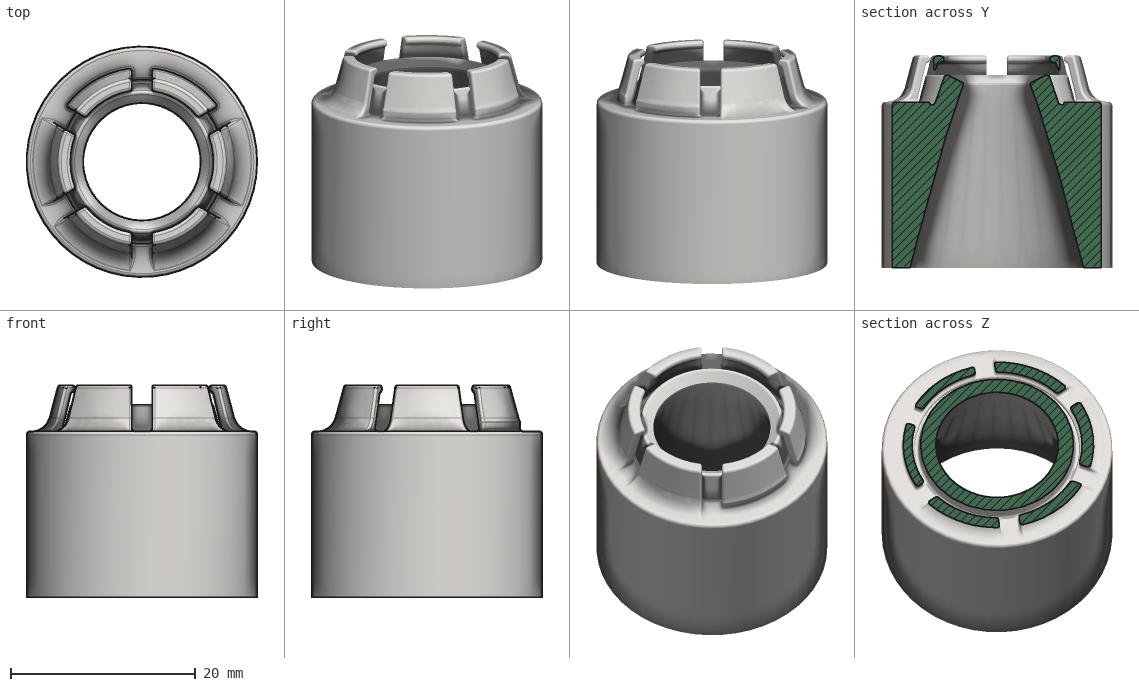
import cadquery as cq
import math

BODY_RADIUS = 12.5
BODY_HEIGHT = 18.0
BODY_EDGE_RADIUS = 0.4

WALL_ANGLE = 15.0

NOZZLE_HEIGHT = 2.9
NOZZLE_TIP_RADIUS = 7.7
NOZZLE_TIP_ROUND = 0.27
MOUTH_ANGLE = 39.0
GROOVE_DEPTH = 0.3
GROOVE_OUTER_RADIUS = 8.9
GROOVE_FLOOR_FILLET = 0.3
GROOVE_RIM_ROUND = 0.25

THROAT_RADIUS = 6.35
THROAT_LAND = 0.25
BORE_HALF_ANGLE = 12.5

FINGER_COUNT = 6
FINGER_HEIGHT = 5.0
FINGER_BASE_RADIUS = 10.4
FINGER_BASE_FILLET = 2.0
FINGER_INNER_BASE_RADIUS = 9.35
LIP_RADIUS = 7.75
LIP_UNDERSIDE = 4.1
LIP_EDGE = 4.4
FINGER_TIP_ROUND = 0.38
FINGER_EDGE_ROUND = 0.25
SLOT_WIDTH = 2.2
SLOT_FLOOR_FILLET = 0.3
ROOT_DEPTH = 1.0
ROOT_MARGIN = 0.1

TRIMMED_FINGERS = (60.0, 120.0)
TRIM_RADIUS = 10.19

FINGER_PITCH = 360.0 / FINGER_COUNT
WALL_SLOPE = math.tan(math.radians(WALL_ANGLE))
TOP = BODY_HEIGHT
FINGER_TOP = TOP + FINGER_HEIGHT
NOZZLE_TOP = TOP + NOZZLE_HEIGHT
FLAT_TOLERANCE = 0.01


def revolve(profile):
    """Close a half section drawn in the XZ plane and turn it about the Z axis."""
    return profile.close().revolve(360, (0, 0, 0), (0, 1, 0))


def circles_at(solid, radius, height):
    """Full circular edges of the given radius lying at the given height."""
    return solid.edges("%CIRCLE").filter(
        lambda edge: abs(edge.radius() - radius) < FLAT_TOLERANCE
        and abs(edge.Center().z - height) < FLAT_TOLERANCE
    )


def make_body():
    """Cylinder with the grooved top face, the tapered nozzle and the flaring bore."""
    groove_floor = TOP - GROOVE_DEPTH
    groove_inner_radius = NOZZLE_TIP_RADIUS + WALL_SLOPE * (NOZZLE_TOP - groove_floor)
    wall = math.radians(WALL_ANGLE)
    mouth = math.radians(MOUTH_ANGLE)
    tip_centre_radius = NOZZLE_TIP_RADIUS - NOZZLE_TIP_ROUND * math.tan((math.pi / 2 - wall) / 2)
    tip_centre = NOZZLE_TOP - NOZZLE_TIP_ROUND
    tip_outer_radius = tip_centre_radius + NOZZLE_TIP_ROUND * math.cos(wall)
    tip_outer = tip_centre + NOZZLE_TIP_ROUND * math.sin(wall)
    mouth_radius = tip_centre_radius - NOZZLE_TIP_ROUND * math.sin(mouth)
    mouth_top = tip_centre + NOZZLE_TIP_ROUND * math.cos(mouth)
    throat_top = mouth_top - (mouth_radius - THROAT_RADIUS) * math.tan(mouth)
    throat_bottom = throat_top - THROAT_LAND
    outlet_radius = THROAT_RADIUS + throat_bottom * math.tan(math.radians(BORE_HALF_ANGLE))
    body = revolve(
        cq.Workplane("XZ")
        .moveTo(outlet_radius, 0)
        .lineTo(BODY_RADIUS, 0)
        .lineTo(BODY_RADIUS, TOP)
        .lineTo(GROOVE_OUTER_RADIUS, TOP)
        .lineTo(GROOVE_OUTER_RADIUS, groove_floor)
        .lineTo(groove_inner_radius, groove_floor)
        .lineTo(tip_outer_radius, tip_outer)
        .threePointArc((tip_centre_radius, NOZZLE_TOP), (mouth_radius, mouth_top))
        .lineTo(THROAT_RADIUS, throat_top)
        .lineTo(THROAT_RADIUS, throat_bottom)
    )
    body = circles_at(body, BODY_RADIUS, TOP).fillet(BODY_EDGE_RADIUS)
    body = circles_at(body, GROOVE_OUTER_RADIUS, TOP).fillet(GROOVE_RIM_ROUND)
    return circles_at(body, groove_inner_radius, groove_floor).fillet(GROOVE_FLOOR_FILLET)


def make_finger_ring():
    """Full ring with the finger section, rooted below the top face of the body."""
    turn = math.radians(90 - WALL_ANGLE)
    tangent = FINGER_BASE_FILLET * math.tan(turn / 2)
    foot_radius = FINGER_BASE_RADIUS + tangent
    fillet_top_radius = FINGER_BASE_RADIUS - tangent * math.cos(turn)
    fillet_top = TOP + tangent * math.sin(turn)
    middle_radius = foot_radius - FINGER_BASE_FILLET * math.sin(turn / 2)
    middle = TOP + FINGER_BASE_FILLET * (1 - math.cos(turn / 2))
    root = TOP - ROOT_DEPTH
    ring = revolve(
        cq.Workplane("XZ")
        .moveTo(FINGER_INNER_BASE_RADIUS, root)
        .lineTo(foot_radius + ROOT_MARGIN, root)
        .lineTo(foot_radius + ROOT_MARGIN, TOP)
        .lineTo(foot_radius, TOP)
        .threePointArc((middle_radius, middle), (fillet_top_radius, fillet_top))
        .lineTo(FINGER_BASE_RADIUS - WALL_SLOPE * FINGER_HEIGHT, FINGER_TOP)
        .lineTo(LIP_RADIUS, FINGER_TOP)
        .lineTo(LIP_RADIUS, TOP + LIP_EDGE)
        .lineTo(FINGER_INNER_BASE_RADIUS - WALL_SLOPE * LIP_UNDERSIDE, TOP + LIP_UNDERSIDE)
        .lineTo(FINGER_INNER_BASE_RADIUS, TOP)
    )
    return ring.faces(">Z").edges().fillet(FINGER_TIP_ROUND)


def make_slot_cutter(angle):
    cutter = cq.Workplane("XY").box(BODY_RADIUS, SLOT_WIDTH, FINGER_TOP, centered=(False, True, False))
    return cutter.rotate((0, 0, 0), (0, 0, 1), angle)


def make_finger(ring, trimmed):
    """One finger pointing along +X, with every edge above its root rounded."""
    reach = 2 * BODY_RADIUS
    half_width = reach * math.tan(math.radians(FINGER_PITCH / 2))
    sector = (
        cq.Workplane("XY")
        .polyline([(0, 0), (reach, -half_width), (reach, half_width)])
        .close()
        .extrude(FINGER_TOP)
    )
    finger = ring.intersect(sector)
    for side in (-1, 1):
        finger = finger.cut(make_slot_cutter(side * FINGER_PITCH / 2))
    if trimmed:
        finger = finger.intersect(cq.Workplane("XY").circle(TRIM_RADIUS).extrude(FINGER_TOP))
    exposed = finger.edges().filter(lambda edge: edge.Center().z > TOP - ROOT_DEPTH / 2 - FLAT_TOLERANCE)
    return exposed.fillet(FINGER_EDGE_ROUND)


def fillet_slot_floors(part):
    """Blend the straight slot walls into the top face; the blend runs on around trimmed feet."""
    floor_lines = part.edges("%LINE").filter(
        lambda edge: abs(edge.Center().z - TOP) < FLAT_TOLERANCE
        and abs(edge.startPoint().z - edge.endPoint().z) < FLAT_TOLERANCE
    )
    return floor_lines.fillet(SLOT_FLOOR_FILLET)


def make_part():
    part = make_body()
    ring = make_finger_ring()
    for index in range(FINGER_COUNT):
        angle = index * FINGER_PITCH
        finger = make_finger(ring, angle in TRIMMED_FINGERS)
        part = part.union(finger.rotate((0, 0, 0), (0, 0, 1), angle))
    return fillet_slot_floors(part)


result = make_part()